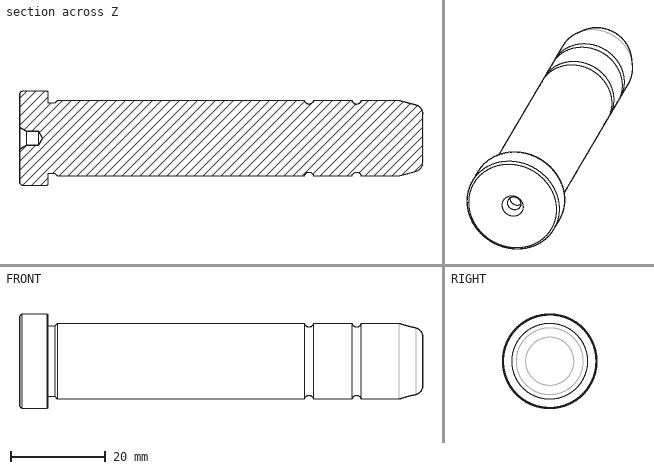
import cadquery as cq
import math

length = 85.0
head_radius = 9.99
head_thickness = 6.0
face_chamfer = 0.5
back_chamfer = 0.25
shaft_radius = 8.0

neck_radius = 7.5
neck_end = 8.0
neck_flank_length = 0.5

groove_starts = (60.0, 70.0)
groove_width = 1.95
groove_depth = 0.8
groove_clearance = 0.85

taper_length = 5.0
taper_angle = 15.0
tip_fillet = 2.0

countersink_radius = 2.3
drill_radius = 1.45
countersink_angle = 60.0
drill_depth = 4.0
drill_point_angle = 120.0


def cone_depth(radius_change, included_angle):
    """Axial length of a cone that changes radius by the given amount."""
    return radius_change / math.tan(math.radians(included_angle / 2))


def revolve_about_x(points):
    """Solid of revolution from (x, radius) points that start and end on the X axis."""
    return cq.Workplane("XY").polyline(points).close().revolve(360, (0, 0, 0), (1, 0, 0))


def make_head():
    head = cq.Workplane("YZ").circle(head_radius).extrude(head_thickness)
    head = head.faces(">X").edges().chamfer(back_chamfer)
    return head.faces("<X").edges().chamfer(face_chamfer)


def make_shank():
    taper_start = length - taper_length
    tip_radius = shaft_radius - taper_length * math.tan(math.radians(taper_angle))
    shank = revolve_about_x([
        (0, 0),
        (0, neck_radius),
        (neck_end - neck_flank_length, neck_radius),
        (neck_end, shaft_radius),
        (taper_start, shaft_radius),
        (length, tip_radius),
        (length, 0),
    ])
    return shank.faces(">X").edges().fillet(tip_fillet)


def make_ring_groove(start):
    """Ring with a circular-segment section, cut into the shaft surface."""
    section = (
        cq.Workplane("XY")
        .moveTo(start, shaft_radius)
        .threePointArc(
            (start + groove_width / 2, shaft_radius - groove_depth),
            (start + groove_width, shaft_radius),
        )
        .lineTo(start + groove_width, shaft_radius + groove_clearance)
        .lineTo(start, shaft_radius + groove_clearance)
        .close()
    )
    return section.revolve(360, (0, 0, 0), (1, 0, 0))


def make_centre_drilling():
    countersink_depth = cone_depth(countersink_radius - drill_radius, countersink_angle)
    point_depth = cone_depth(drill_radius, drill_point_angle)
    return revolve_about_x([
        (0, 0),
        (0, countersink_radius),
        (countersink_depth, drill_radius),
        (drill_depth, drill_radius),
        (drill_depth + point_depth, 0),
    ])


result = make_head().union(make_shank()).cut(make_centre_drilling())
for groove_start in groove_starts:
    result = result.cut(make_ring_groove(groove_start))